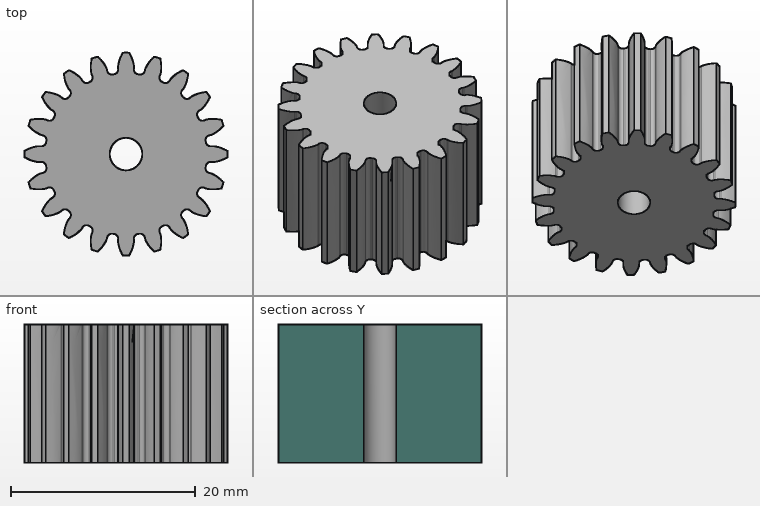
import cadquery as cq
import math

TIP_DIAMETER = 22.0
TOOTH_COUNT = 20
PRESSURE_ANGLE = math.radians(20)
FACE_WIDTH = 15.0
BORE_DIAMETER = 3.5
DEDENDUM_FACTOR = 1.25
FILLET_FACTOR = 0.5
FLANK_POINTS = 9

module = TIP_DIAMETER / (TOOTH_COUNT + 2)
tip_radius = TIP_DIAMETER / 2
pitch_radius = module * TOOTH_COUNT / 2
base_radius = pitch_radius * math.cos(PRESSURE_ANGLE)
root_radius = pitch_radius - DEDENDUM_FACTOR * module
fillet_radius = FILLET_FACTOR * module

tooth_pitch = 2 * math.pi / TOOTH_COUNT
pitch_involute = math.tan(PRESSURE_ANGLE) - PRESSURE_ANGLE
base_half_tooth = tooth_pitch / 4 + pitch_involute

fillet_center_radius = root_radius + fillet_radius
fillet_angle = math.asin(fillet_radius / fillet_center_radius)
fillet_top_radius = math.sqrt(fillet_center_radius**2 - fillet_radius**2)


def polar(radius, angle):
    return (radius * math.cos(angle), radius * math.sin(angle))


def flank_points(tooth_angle, side):
    """Involute from the base circle to the tip; side is -1 or +1 about the tooth axis."""
    tip_roll = math.sqrt((tip_radius / base_radius) ** 2 - 1)
    points = []
    for i in range(FLANK_POINTS):
        roll = tip_roll * i / (FLANK_POINTS - 1)
        radius = base_radius * math.sqrt(1 + roll**2)
        half_tooth = base_half_tooth - (roll - math.atan(roll))
        points.append(polar(radius, tooth_angle + side * half_tooth))
    return points


def fillet_points(tooth_angle, side):
    """Start, middle and end of a root fillet, from the radial flank to the root circle."""
    flank_angle = tooth_angle + side * base_half_tooth
    center_angle = flank_angle + side * fillet_angle
    center_x, center_y = polar(fillet_center_radius, center_angle)
    arc_middle = center_angle + math.pi + side * (math.pi / 2 - fillet_angle) / 2
    offset_x, offset_y = polar(fillet_radius, arc_middle)
    start = polar(fillet_top_radius, flank_angle)
    end = polar(root_radius, center_angle)
    return start, (center_x + offset_x, center_y + offset_y), end


def add_tooth(outline, tooth_angle):
    """Add one tooth and the root land after it, going counter-clockwise."""
    rising_top, rising_middle, _ = fillet_points(tooth_angle, -1)
    falling_top, falling_middle, falling_root = fillet_points(tooth_angle, 1)
    next_root = fillet_points(tooth_angle + tooth_pitch, -1)[2]
    rising = flank_points(tooth_angle, -1)
    falling = flank_points(tooth_angle, 1)[::-1]
    return (
        outline.threePointArc(rising_middle, rising_top)
        .lineTo(*rising[0])
        .spline(rising[1:], includeCurrent=True)
        .threePointArc(polar(tip_radius, tooth_angle), falling[0])
        .spline(falling[1:], includeCurrent=True)
        .lineTo(*falling_top)
        .threePointArc(falling_middle, falling_root)
        .threePointArc(polar(root_radius, tooth_angle + tooth_pitch / 2), next_root)
    )


def make_gear():
    first_root = fillet_points(0, -1)[2]
    outline = cq.Workplane("XY").moveTo(*first_root)
    for tooth in range(TOOTH_COUNT):
        outline = add_tooth(outline, tooth * tooth_pitch)
    return outline.close().extrude(FACE_WIDTH)


def make_bore():
    return cq.Workplane("XY").circle(BORE_DIAMETER / 2).extrude(FACE_WIDTH)


result = make_gear().cut(make_bore())